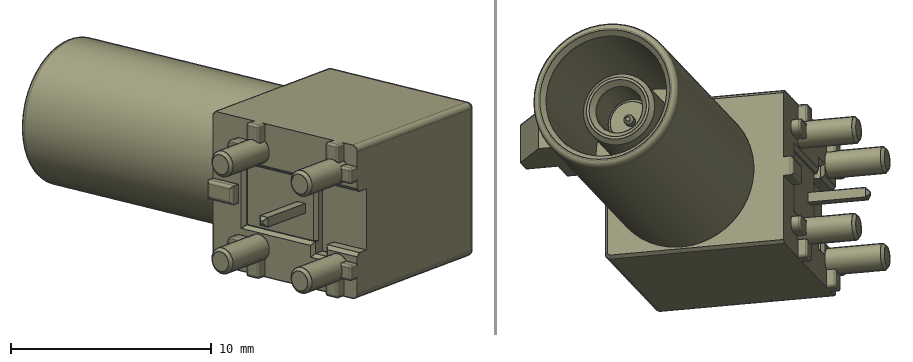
import cadquery as cq


total_length = 22.8
body_length = 9.2
body_size = 8.0
body_bottom_y = -5.3
body_back_fillet = 0.3
body_front_chamfer = 0.15
body_front_x = total_length - body_length
body_top_y = body_size / 2
side_z = body_size / 2

barrel_diameter = 7.5
barrel_radius = barrel_diameter / 2
barrel_rim_fillet = 0.3
socket_radius = 3.12
socket_lead_in = 0.25
socket_depth = 9.12

sleeve_front_x = 2.28
sleeve_radius = 1.85
sleeve_rim_chamfer = 0.23
sleeve_bore_radius = 1.2
sleeve_lead_in = 0.27
insulator_x = 4.55
insulator_chamfer = 0.15
contact_radius = 0.25
contact_tip_chamfer = 0.14
contact_length = 0.45

latch_width = 1.95
latch_front_x = 4.55
latch_ramp_end_x = 6.48
latch_catch_x = 7.55
latch_end_x = 9.2
latch_ramp_start_y = 4.77
latch_step_y = 4.63
latch_top_y = 6.27
latch_root_y = 3.42

post_diameter = 1.35
post_radius = post_diameter / 2
post_spacing = 5.06
post_tip_y = -8.32
post_tip_chamfer = 0.15
pin_x = 19.04
pin_width = 0.5
pin_tip_y = -8.19
pin_tip_chamfer = 0.18

rib_width = 0.8
rib_height = 0.5
rib_edge_fillet = 0.11
rib_nose_x = 14.87
key_width = 0.98
key_end_x = 15.2
key_edge_fillet = 0.15

recess_front_x = 15.4
recess_half_width = 1.78
recess_depth = 0.25
cross_front_x = 19.81
cross_back_x = 20.9
cross_half_width = 2.4
cross_depth = 0.73
recess_chamfer = 0.18

post_columns = (pin_x - post_spacing / 2, pin_x + post_spacing / 2)
post_rows = (-post_spacing / 2, post_spacing / 2)


def block(x0, x1, y0, y1, z0, z1):
    """Box between two corners."""
    return cq.Workplane("XY").box(x1 - x0, y1 - y0, z1 - z0, centered=False).translate((x0, y0, z0))


def rod(x, z, radius, y0, y1):
    """Round rod along Y; y1 is its lower end."""
    return cq.Workplane("XZ", origin=(x, y0, z)).circle(radius).extrude(y0 - y1)


def make_body():
    body = block(body_front_x, total_length, body_bottom_y, body_top_y, -side_z, side_z)
    body = body.edges("(>Y and |X) or (>X and |Y) or (>X and >Y)").fillet(body_back_fillet)
    return body.faces("<X").edges("not <Y").chamfer(body_front_chamfer)


def make_barrel():
    barrel = cq.Workplane("YZ").circle(barrel_radius).extrude(body_front_x + body_front_chamfer)
    return barrel.faces("<X").edges().fillet(barrel_rim_fillet)


def make_socket():
    """Blind bore with a conical lead-in at the mouth."""
    profile = [
        (0, 0),
        (0, socket_radius + socket_lead_in),
        (socket_lead_in, socket_radius),
        (socket_depth, socket_radius),
        (socket_depth, 0),
    ]
    return cq.Workplane("XY").polyline(profile).close().revolve(360, (0, 0, 0), (1, 0, 0))


def make_sleeve():
    """Sleeve filled by its insulator and centre contact, revolved about the barrel axis."""
    contact_tip_x = insulator_x - contact_length
    profile = [
        (socket_depth, 0),
        (socket_depth, sleeve_radius),
        (sleeve_front_x + sleeve_rim_chamfer, sleeve_radius),
        (sleeve_front_x, sleeve_radius - sleeve_rim_chamfer),
        (sleeve_front_x, sleeve_bore_radius + sleeve_lead_in),
        (sleeve_front_x + sleeve_lead_in, sleeve_bore_radius),
        (insulator_x + insulator_chamfer, sleeve_bore_radius),
        (insulator_x, sleeve_bore_radius - insulator_chamfer),
        (insulator_x, contact_radius),
        (contact_tip_x + contact_tip_chamfer, contact_radius),
        (contact_tip_x, contact_radius - contact_tip_chamfer),
        (contact_tip_x, 0),
    ]
    return cq.Workplane("XY").polyline(profile).close().revolve(360, (0, 0, 0), (1, 0, 0))


def make_latch():
    profile = [
        (latch_front_x, latch_root_y),
        (latch_front_x, latch_ramp_start_y),
        (latch_ramp_end_x, latch_top_y),
        (latch_catch_x, latch_top_y),
        (latch_catch_x, latch_step_y),
        (latch_end_x, latch_step_y),
        (latch_end_x, latch_root_y),
    ]
    return cq.Workplane("XY").polyline(profile).close().extrude(latch_width / 2, both=True)


def chamfered_pocket(x0, x1, half_width, depth):
    """Straight-walled pocket in the mounting face with a chamfer all round its mouth."""
    inset = recess_chamfer
    length = x1 - x0
    mouth = cq.Workplane("XZ", origin=((x0 + x1) / 2, body_bottom_y, 0)).rect(length, 2 * half_width)
    throat = mouth.workplane(offset=-inset).rect(length - 2 * inset, 2 * (half_width - inset))
    well_half = half_width - inset
    well = block(x0 + inset, x1 - inset, body_bottom_y, body_bottom_y + depth, -well_half, well_half)
    return throat.loft(ruled=True).union(well)


def make_recess():
    """Shallow channel, open at +X, that steps down along a chamfer into a deeper one with a cross slot."""
    open_end_x = total_length + 2 * recess_chamfer
    half_width = recess_half_width - recess_chamfer
    step_y = body_bottom_y + recess_depth
    floor_y = body_bottom_y + cross_depth
    step_profile = [
        (cross_front_x, step_y),
        (cross_front_x + recess_chamfer, step_y + recess_chamfer),
        (cross_front_x + recess_chamfer, floor_y),
        (open_end_x, floor_y),
        (open_end_x, step_y),
    ]
    shallow = chamfered_pocket(recess_front_x, open_end_x, recess_half_width, recess_depth)
    deep = cq.Workplane("XY").polyline(step_profile).close().extrude(half_width, both=True)
    cross = chamfered_pocket(cross_front_x, cross_back_x, cross_half_width, cross_depth)
    return shallow.union(deep).union(cross)


def rib(x0, x1, z0, z1, edge_fillet, corner_edges=None):
    """Standoff rib; corner_edges selects upright edges to round before its crest."""
    bar = block(x0, x1, body_bottom_y - rib_height, body_bottom_y, z0, z1)
    if corner_edges:
        bar = bar.edges(corner_edges).fillet(edge_fillet)
    return bar.faces("<Y").edges().fillet(edge_fillet)


def make_nose_rib(post_x, z):
    """Rib from a front post toward the barrel, with a half-round end."""
    half = rib_width / 2
    nose = cq.Workplane("XZ", origin=(0, body_bottom_y, 0)).moveTo(post_x, z - half)
    nose = nose.lineTo(rib_nose_x + half, z - half)
    nose = nose.threePointArc((rib_nose_x, z), (rib_nose_x + half, z + half))
    nose = nose.lineTo(post_x, z + half).close().extrude(rib_height)
    return nose.faces("<Y").edges().fillet(rib_edge_fillet)


def make_ribs():
    half = rib_width / 2
    front_post_x, back_post_x = post_columns
    ribs = rib(body_front_x, key_end_x, -key_width / 2, key_width / 2, key_edge_fillet)
    for z in post_rows:
        ribs = ribs.union(make_nose_rib(front_post_x, z))
        ribs = ribs.union(rib(back_post_x, total_length, z - half, z + half, rib_edge_fillet, "|Y and >X"))
        z0, z1, outer = (z, side_z, ">Z") if z > 0 else (-side_z, z, "<Z")
        for x in post_columns:
            ribs = ribs.union(rib(x - half, x + half, z0, z1, rib_edge_fillet, "|Y and " + outer))
    return ribs


def make_posts():
    root_y = body_bottom_y + cross_depth
    posts = cq.Workplane("XY")
    for x in post_columns:
        for z in post_rows:
            post = rod(x, z, post_radius, root_y, post_tip_y)
            posts = posts.union(post.faces("<Y").chamfer(post_tip_chamfer))
    return posts


def make_pin():
    half = pin_width / 2
    pin = block(pin_x - half, pin_x + half, pin_tip_y, body_bottom_y + cross_depth, -half, half)
    return pin.faces("<Y").chamfer(pin_tip_chamfer)


result = make_body().cut(make_recess())
result = result.union(make_barrel()).cut(make_socket()).union(make_sleeve()).union(make_latch())
result = result.union(make_ribs()).union(make_posts()).union(make_pin())